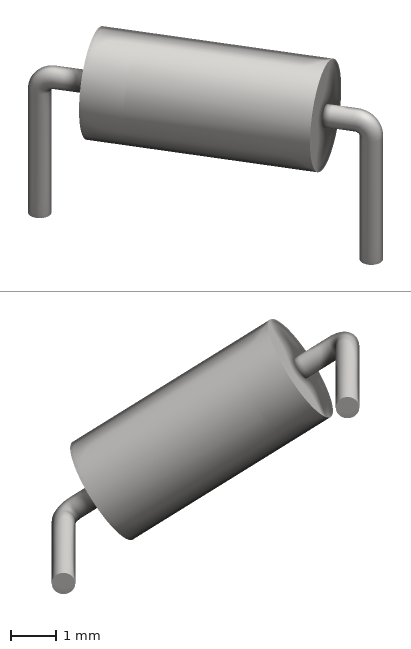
import cadquery as cq

overall_length = 8.14
overall_height = 4.77
barrel_diameter = 2.54
lead_diameter = 0.52
bend_radius = 0.34

end_cap_start = -2.55
end_cap_length = 1.02
barrel_end = 2.76

barrel_start = end_cap_start + end_cap_length
leg_offset = (overall_length - lead_diameter) / 2
leg_bottom = barrel_diameter / 2 - overall_height


def make_cylinder(start, end):
    """Cylinder on the X axis between two X positions."""
    return cq.Workplane("YZ", origin=(start, 0, 0)).circle(barrel_diameter / 2).extrude(end - start)


def make_lead(face_x, side):
    """Round wire leaving an end face outward (side is -1 or +1), then bending down."""
    leg_x = side * leg_offset
    bend_start_x = leg_x - side * bend_radius
    wire_path = (
        cq.Workplane("XZ")
        .moveTo(face_x, 0)
        .lineTo(bend_start_x, 0)
        .tangentArcPoint((leg_x, -bend_radius), relative=False)
        .lineTo(leg_x, leg_bottom)
    )
    return cq.Workplane("YZ", origin=(face_x, 0, 0)).circle(lead_diameter / 2).sweep(wire_path)


end_cap = make_cylinder(end_cap_start, barrel_start).union(make_lead(end_cap_start, -1))

barrel = make_cylinder(barrel_start, barrel_end).union(make_lead(barrel_end, 1))

result = cq.Compound.makeCompound([end_cap.val(), barrel.val()])